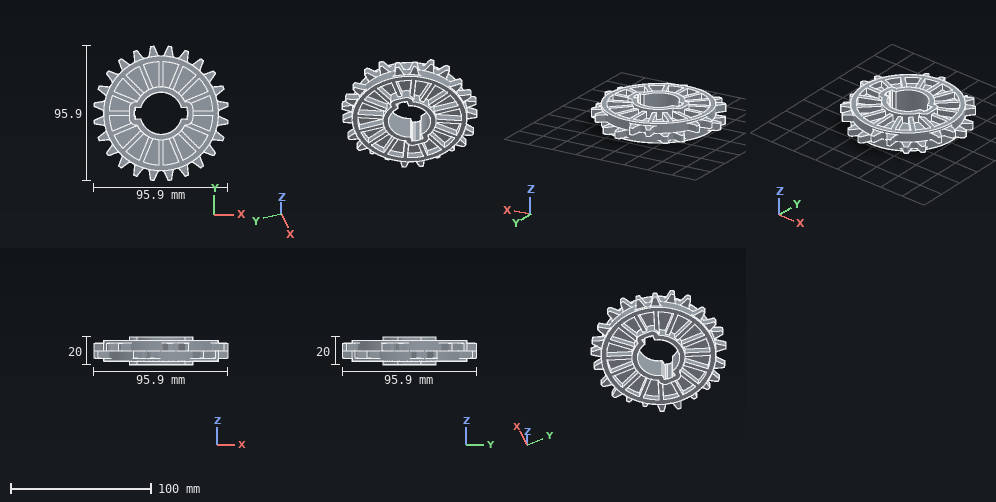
import cadquery as cq
import math

hub_height = 20.0
rim_height = 15.0
web_thickness = 5.0
rim_radius = 41.0
pocket_outer_radius = 37.0
hub_radius = 19.0
rib_count = 16
rib_width = 3.1

bore_radius = 15.0
keyway_width = 8.0
keyway_half_length = 18.4
groove_width = 4.0
groove_depth = 0.6
corner_relief_radius = 0.5
corner_relief_overshoot = 0.25
pad_half_length = 22.65
pad_corner_radius = 4.65
pad_flat_width = 7.3

tooth_count = 24
teeth_per_pair = 2
tooth_height = 5.6
tip_radius = 48.22
tip_half_width = 1.25
flank_angle = math.radians(16.5)
root_fillet_radius = 2.0
tip_corner_radius = 0.3
tip_bevel_length = 1.7
tip_bevel_drop = 0.5

joint_overlap = 1.0

tooth_pitch = 360.0 / tooth_count
buried_root_radius = rim_radius - joint_overlap


def polar(radius, angle):
    return radius * math.cos(angle), radius * math.sin(angle)


def cylinder(radius, height):
    """Cylinder centred on the mid plane."""
    return cq.Workplane("XY").circle(radius).extrude(height / 2, both=True)


def centred_box(length, width, height):
    return cq.Workplane("XY").box(length, width, height)


def corner_cylinders(half_x, half_y, radius, height):
    """Four cylinders mirrored about X and Y."""
    centres = [(x, y) for x in (-half_x, half_x) for y in (-half_y, half_y)]
    return cq.Workplane("XY").pushPoints(centres).circle(radius).extrude(height / 2, both=True)


def hub_blank(height):
    """Solid hub: a round boss with two flat-ended, round-cornered keyway pads."""
    pads = centred_box(2 * pad_half_length, pad_flat_width, height)
    pad_corners = corner_cylinders(
        pad_half_length - pad_corner_radius, pad_flat_width / 2, pad_corner_radius, height
    )
    return cylinder(hub_radius, height).union(pads).union(pad_corners)


def add_ribs(body):
    """Join the ribs to the body; each bar through the axis makes two opposite ribs."""
    bar = centred_box(2 * (pocket_outer_radius + joint_overlap), rib_width, rim_height)
    for index in range(rib_count // 2):
        body = body.union(bar.rotate((0, 0, 0), (0, 0, 1), index * 360.0 / rib_count))
    return body


def wheel_body():
    ring = cylinder(rim_radius, rim_height).cut(cylinder(pocket_outer_radius, rim_height))
    web = cylinder(pocket_outer_radius, web_thickness)
    return add_ribs(ring.union(web)).union(hub_blank(hub_height))


def bore():
    """Through bore with keyways, a shallow groove in each keyway end and relieved corners."""
    keyways = centred_box(2 * keyway_half_length, keyway_width, hub_height)
    grooves = centred_box(2 * (keyway_half_length + groove_depth), groove_width, hub_height)
    relief_inset = corner_relief_radius - corner_relief_overshoot
    reliefs = corner_cylinders(
        keyway_half_length - relief_inset,
        keyway_width / 2 - relief_inset,
        corner_relief_radius,
        hub_height,
    )
    return cylinder(bore_radius, hub_height).union(keyways).union(grooves).union(reliefs)


def tooth():
    """One upper tooth pointing along +X, standing on the mid plane."""
    tip_x = math.sqrt(tip_radius**2 - tip_half_width**2)
    centre_radius = rim_radius + root_fillet_radius
    line_offset = (
        tip_x * math.sin(flank_angle)
        + tip_half_width * math.cos(flank_angle)
        + root_fillet_radius
    )
    centre_angle = math.asin(line_offset / centre_radius) - flank_angle
    centre_x, centre_y = polar(centre_radius, centre_angle)
    flank_normal = math.pi / 2 - flank_angle
    fillet_start_angle = centre_angle + math.pi
    fillet_end_angle = flank_normal + math.pi
    fillet_middle_angle = (fillet_start_angle + fillet_end_angle) / 2

    def fillet_point(angle, side):
        dx, dy = polar(root_fillet_radius, angle)
        return centre_x + dx, side * (centre_y + dy)

    buried_x, buried_y = polar(buried_root_radius, centre_angle)
    outline = (
        cq.Workplane("XY")
        .moveTo(buried_x, -buried_y)
        .lineTo(*fillet_point(fillet_start_angle, -1))
        .threePointArc(fillet_point(fillet_middle_angle, -1), fillet_point(fillet_end_angle, -1))
        .lineTo(tip_x, -tip_half_width)
        .threePointArc((tip_radius, 0), (tip_x, tip_half_width))
        .lineTo(*fillet_point(fillet_end_angle, 1))
        .threePointArc(fillet_point(fillet_middle_angle, 1), fillet_point(fillet_start_angle, 1))
        .lineTo(buried_x, buried_y)
        .close()
    )
    bevel = (
        cq.Workplane("XZ")
        .moveTo(tip_radius - tip_bevel_length, tooth_height)
        .lineTo(tip_radius, tooth_height)
        .lineTo(tip_radius, tooth_height - tip_bevel_drop)
        .close()
        .extrude(tip_radius, both=True)
    )
    blank = outline.extrude(tooth_height).edges("|Z").edges(">X").fillet(tip_corner_radius)
    return blank.cut(bevel)


def add_teeth(body):
    """Pairs of teeth lie alternately in the upper and in the lower layer."""
    upper_tooth = tooth()
    lower_tooth = upper_tooth.mirror("XY")
    for index in range(tooth_count):
        is_lower = (index // teeth_per_pair) % 2 == 0
        layer_tooth = lower_tooth if is_lower else upper_tooth
        angle = (index + 0.5) * tooth_pitch
        body = body.union(layer_tooth.rotate((0, 0, 0), (0, 0, 1), angle))
    return body


result = add_teeth(wheel_body()).cut(bore())